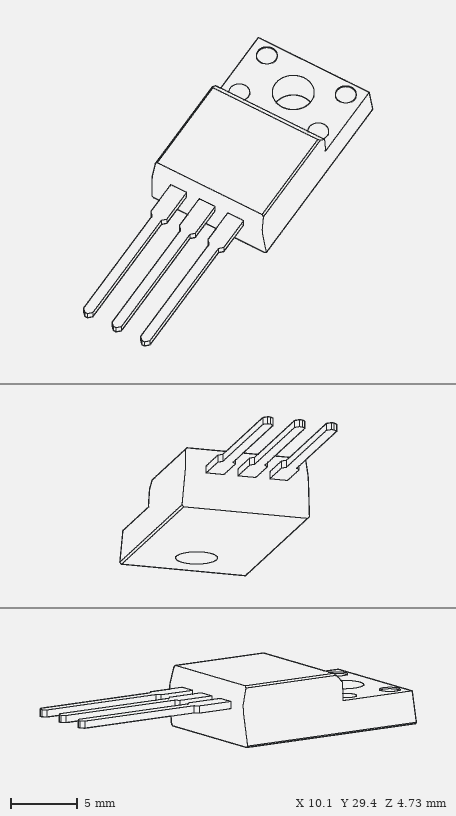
import cadquery as cq

BODY_LENGTH = 15.85
BODY_WIDTH = 10.13
BODY_HEIGHT = 4.73
TOP_WIDTH = 9.57
SIDE_CHAMFER = 0.15
END_DRAFT = 0.3
TOP_FRONT_DRAFT = 0.35

TAB_LENGTH = 6.67
TAB_HEIGHT = 2.58
STEP_CHAMFER = 0.7

HOLE_DIAMETER = 3.17
HOLE_FROM_BACK = 3.3
MARK_DIAMETER = 1.6
MARK_SPACING = 7.0
REAR_MARK_FROM_BACK = 1.38
REAR_MARK_DEPTH = 0.12
BOWL_FROM_BACK = 5.4
BOWL_FLOOR_DIAMETER = 0.6
BOWL_DEPTH = 1.03

LEAD_COUNT = 3
LEAD_PITCH = 2.53
OVERALL_LENGTH = 29.37
LEAD_LENGTH = OVERALL_LENGTH - BODY_LENGTH
LEAD_THICKNESS = 0.55
LEAD_BOTTOM = 2.75
LEAD_EMBED = 0.3
LEAD_WIDTH = 0.82
ROOT_WIDTH = 1.4
ROOT_LENGTH = 2.9
TIP_CHAMFER = 0.3
LEAD_TOP = LEAD_BOTTOM + LEAD_THICKNESS


def make_body():
    """Stepped side outline, trimmed by the drafted and chamfered end outline."""
    step_y = BODY_LENGTH - TAB_LENGTH
    side = (
        cq.Workplane("YZ")
        .polyline([
            (BODY_LENGTH, 0),
            (BODY_LENGTH - END_DRAFT, TAB_HEIGHT),
            (step_y, TAB_HEIGHT),
            (step_y, BODY_HEIGHT - STEP_CHAMFER),
            (step_y - STEP_CHAMFER, BODY_HEIGHT),
            (TOP_FRONT_DRAFT, BODY_HEIGHT),
            (0, LEAD_TOP),
            (0, LEAD_BOTTOM),
            (END_DRAFT, 0),
        ])
        .close()
        .extrude(BODY_WIDTH / 2, both=True)
    )
    half_bottom = BODY_WIDTH / 2
    half_top = TOP_WIDTH / 2
    right_edge = [
        (half_bottom - SIDE_CHAMFER, 0),
        (half_bottom, SIDE_CHAMFER),
        (half_top, BODY_HEIGHT - SIDE_CHAMFER),
        (half_top - SIDE_CHAMFER, BODY_HEIGHT),
    ]
    left_edge = [(-x, z) for x, z in reversed(right_edge)]
    end = (
        cq.Workplane("XZ")
        .polyline(right_edge + left_edge)
        .close()
        .extrude(-BODY_LENGTH)
    )
    return side.intersect(end)


def tab_cutter(x, from_back, diameter, depth):
    """Cylinder reaching down from the top of the tab."""
    return (
        cq.Workplane("XY", origin=(x, BODY_LENGTH - from_back, TAB_HEIGHT - depth))
        .circle(diameter / 2)
        .extrude(depth)
    )


def bowl_cutter(x):
    """Round recess with a wide fillet between its wall and a small flat floor."""
    fillet_radius = (MARK_DIAMETER - BOWL_FLOOR_DIAMETER) / 2
    cutter = tab_cutter(x, BOWL_FROM_BACK, MARK_DIAMETER, BOWL_DEPTH)
    return cutter.faces("<Z").edges().fillet(fillet_radius)


def make_lead(x):
    """Flat lead with a wide root, 45 degree shoulders and a chamfered tip."""
    half_root = ROOT_WIDTH / 2
    half_lead = LEAD_WIDTH / 2
    shoulder = half_root - half_lead
    right_edge = [
        (half_root, LEAD_EMBED),
        (half_root, -ROOT_LENGTH),
        (half_lead, -ROOT_LENGTH - shoulder),
        (half_lead, TIP_CHAMFER - LEAD_LENGTH),
        (half_lead - TIP_CHAMFER, -LEAD_LENGTH),
    ]
    left_edge = [(-px, py) for px, py in reversed(right_edge)]
    return (
        cq.Workplane("XY", origin=(x, 0, LEAD_BOTTOM))
        .polyline(right_edge + left_edge)
        .close()
        .extrude(LEAD_THICKNESS)
    )


result = make_body()
result = result.cut(tab_cutter(0, HOLE_FROM_BACK, HOLE_DIAMETER, TAB_HEIGHT))

for mark_x in (-MARK_SPACING / 2, MARK_SPACING / 2):
    result = result.cut(tab_cutter(mark_x, REAR_MARK_FROM_BACK, MARK_DIAMETER, REAR_MARK_DEPTH))
    result = result.cut(bowl_cutter(mark_x))

for index in range(LEAD_COUNT):
    lead_x = (index - (LEAD_COUNT - 1) / 2) * LEAD_PITCH
    result = result.union(make_lead(lead_x))